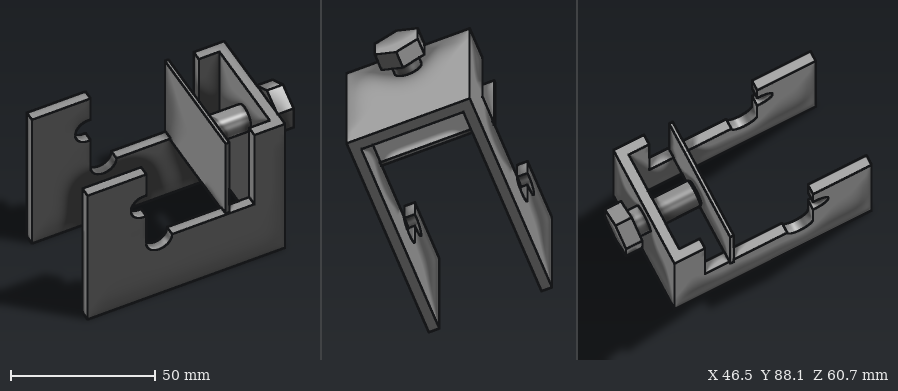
import cadquery as cq
import math

bracket_width = 46.0
bracket_depth = 77.0
bracket_height = 60.4
wall = 4.0

opening_front = 22.9
opening_back = 65.0
ledge_height = 26.7
notch_radius = 5.0
front_notch_inset = 1.0

bolt_height = 45.1
bolt_diameter = 10.0
bolt_tip = 56.8
tip_chamfer = 0.7
head_thickness = 6.3
head_back = 88.1
head_front = head_back - head_thickness
head_across_flats = 16.0
head_across_corners = head_across_flats / math.cos(math.pi / 6)

plate_width = bracket_width
plate_thickness = 1.4
plate_height = 35.0
plate_front = 54.1
plate_offset = 0.5
plate_top = 60.7
plate_bottom = plate_top - plate_height


def box_at(width, depth, height, front, bottom, center_x=0.0):
    """Box centred on center_x, with its front face at front and its base at bottom."""
    return cq.Workplane("XY").box(width, depth, height, centered=(True, False, False)).translate(
        (center_x, front, bottom)
    )


def cylinder_along_x(radius, length, y, z):
    """Cylinder parallel to X, centred on X = 0."""
    return cq.Workplane("YZ").center(y, z).circle(radius).extrude(length / 2, both=True)


def rod_along_y(front, back):
    """Plain round bolt shank between two Y positions."""
    rod = cq.Workplane("XZ").circle(bolt_diameter / 2).extrude(-(back - front))
    return rod.translate((0, front, bolt_height))


def make_plate():
    return box_at(plate_width, plate_thickness, plate_height, plate_front, plate_bottom, -plate_offset)


def make_bolt():
    shank = rod_along_y(bolt_tip, head_front).faces("<Y").chamfer(tip_chamfer)
    head = (
        cq.Workplane("XZ")
        .transformed(rotate=(0, 0, 90))
        .polygon(6, head_across_corners)
        .extrude(-head_thickness)
        .translate((0, head_front, bolt_height))
    )
    return shank.union(head)


def make_opening():
    """Side opening with a round notch in its floor and another in its front edge."""
    opening = box_at(
        bracket_width, opening_back - opening_front, bracket_height - ledge_height, opening_front, ledge_height
    )
    floor_notch = cylinder_along_x(notch_radius, bracket_width, opening_front + notch_radius, ledge_height)
    front_notch_center = opening_front - front_notch_inset
    front_notch = cylinder_along_x(notch_radius, bracket_width, front_notch_center, bolt_height)
    return opening.union(floor_notch).union(front_notch)


def make_bracket(plate):
    outer = box_at(bracket_width, bracket_depth, bracket_height, 0, 0)
    channel = box_at(bracket_width - 2 * wall, bracket_depth - wall, bracket_height, 0, 0)
    bolt_hole = rod_along_y(bracket_depth - wall, bracket_depth)
    return outer.cut(channel).cut(make_opening()).cut(bolt_hole).cut(plate)


plate = make_plate()
bolt = make_bolt()
bracket = make_bracket(plate)

result = cq.Compound.makeCompound([bracket.val(), bolt.val(), plate.val()])